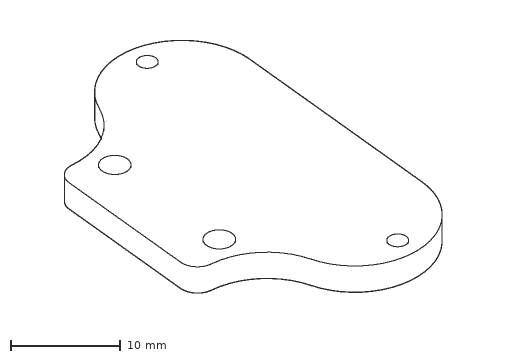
import cadquery as cq
import math

width = 40.85
depth = 25.0
thickness = 3.0

lobe_radius = 8.0
flank_radius = 8.0
corner_radius = 2.0
foot_half_width = 10.0

ear_hole_diameter = 2.0
ear_hole_x = 18.0
ear_hole_y = 17.5
foot_hole_diameter = 3.0
foot_hole_x = 7.5
foot_hole_y = 5.0

half_width = width / 2
lobe_x = half_width - lobe_radius
lobe_y = depth - lobe_radius
flank_x = foot_half_width + flank_radius
flank_y = corner_radius
corner_x = foot_half_width - corner_radius

lobe_share = lobe_radius / (lobe_radius + flank_radius)
join_x = lobe_x + (flank_x - lobe_x) * lobe_share
join_y = lobe_y + (flank_y - lobe_y) * lobe_share

flank_mid_angle = (math.pi + math.atan2(join_y - flank_y, join_x - flank_x)) / 2
flank_mid_x = flank_x + flank_radius * math.cos(flank_mid_angle)
flank_mid_y = flank_y + flank_radius * math.sin(flank_mid_angle)

corner_mid_offset = corner_radius * math.sqrt(0.5)
corner_mid_x = corner_x + corner_mid_offset
corner_mid_y = corner_radius - corner_mid_offset


def make_plate():
    """Symmetric plate, drawn as its +X half outline and mirrored."""
    return (
        cq.Workplane("XY")
        .moveTo(0, depth)
        .lineTo(lobe_x, depth)
        .threePointArc((half_width, lobe_y), (join_x, join_y))
        .threePointArc((flank_mid_x, flank_mid_y), (foot_half_width, flank_y))
        .threePointArc((corner_mid_x, corner_mid_y), (corner_x, 0))
        .lineTo(0, 0)
        .mirrorY()
        .extrude(thickness)
    )


def drill_pair(plate, x, y, diameter):
    """Drill two mirrored holes through the plate."""
    drills = (
        cq.Workplane("XY")
        .pushPoints([(-x, y), (x, y)])
        .circle(diameter / 2)
        .extrude(thickness)
    )
    return plate.cut(drills)


result = make_plate()
result = drill_pair(result, ear_hole_x, ear_hole_y, ear_hole_diameter)
result = drill_pair(result, foot_hole_x, foot_hole_y, foot_hole_diameter)